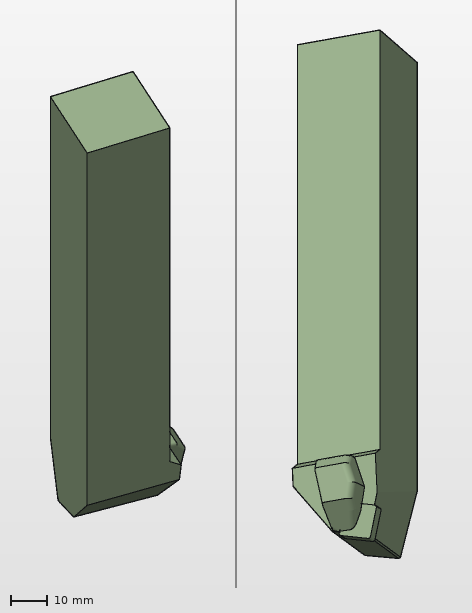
import cadquery as cq
import math

total_length = 151.4
shank_width = 24.8
bar_depth = 33.3
block_size = 454.0

rake_angle = 6.0
side_tilt = 1.0
seat_top_y = 27.8
seat_top_z = 23.9
shoulder_z = 26.2

lead_angle = 15.0
relief_angle = 6.0
nose_x = 5.1
nose_z = 4.2
nose_flat_depth = 0.3
back_edge_x = 15.9
back_edge_z = 7.3
back_corner_z = 19.2
back_relief_angle = 1.0

insert_side = 9.5
insert_thickness = 3.2
insert_corner_radius = 0.6
insert_corner_x = 2.7
insert_corner_z = -0.14

clamp_height = 6.2
clamp_left_fillet = 3.8 / 2
clamp_right_fillet = 0.8
clamp_middle_x = 11.4
side_edge_limit = 0.9
flat_tolerance = 1e-6
clamp_root = 3.0
clamp_draft = 6.0
clamp_plan = [(7.3, 28.8), (18.3, 28.8), (13.9, 3.8), (8.3, 0.0), (4.8, 8.0), (3.3, 15.0)]
clamp_profile = [(-3.0, 25.3), (2.9, 24.0), (clamp_height, 20.7), (clamp_height, 10.5), (-3.0, -0.3)]

lead = math.radians(lead_angle)
relief = math.tan(math.radians(relief_angle))
rake = math.tan(math.radians(rake_angle))
tilt = math.tan(math.radians(side_tilt))
seat_normal = cq.Vector(-tilt, 1, -rake).normalized()


def half_space(point, outward):
    """Large block lying beyond a plane, on the side its outward normal points to."""
    plane = cq.Plane(origin=point, normal=outward)
    return cq.Workplane(plane).rect(block_size, block_size).extrude(block_size)


def seat_y(x, z):
    """Y of the seat plane at a given X and Z."""
    return seat_top_y + tilt * x + rake * (z - seat_top_z)


def make_bar():
    """Square shank with the stepped rear side of the head."""
    shoulder_slope = (shoulder_z - seat_top_z) / (seat_top_y - shank_width)
    side_outline = [
        (0, 0),
        (bar_depth, 0),
        (bar_depth, shoulder_z - shoulder_slope * (bar_depth - shank_width)),
        (shank_width, shoulder_z),
        (shank_width, total_length),
        (0, total_length),
    ]
    bar = cq.Workplane("YZ").polyline(side_outline).close().extrude(shank_width)
    return bar.cut(half_space((0, seat_top_y, seat_top_z), seat_normal))


def grind_head(bar):
    """Cut the side, end, back and nose faces, each with its relief."""
    nose = cq.Vector(nose_x, 0, nose_z)
    side_normal = cq.Vector(-math.cos(lead), -relief, -math.sin(lead))
    end_normal = cq.Vector(math.sin(lead), -relief, -math.cos(lead))
    nose_normal = (side_normal + end_normal).normalized()

    back_edge = cq.Vector(back_edge_x, 0, back_edge_z)
    back_slope = math.atan2(back_corner_z - back_edge_z, shank_width - back_edge_x)
    back_relief = math.tan(math.radians(back_relief_angle))
    back_normal = cq.Vector(math.sin(back_slope), -back_relief, -math.cos(back_slope))

    head = bar.cut(half_space(nose, side_normal))
    head = head.cut(half_space(nose, end_normal))
    head = head.cut(half_space(back_edge, back_normal))
    return head.cut(half_space(nose - nose_normal * nose_flat_depth, nose_normal))


def make_insert():
    """Square insert, its rear face flush with the seat plane."""
    corner = (insert_corner_x, seat_y(insert_corner_x, insert_corner_z), insert_corner_z)
    end_direction = cq.Vector(
        math.cos(lead), tilt * math.cos(lead) + rake * math.sin(lead), math.sin(lead)
    )
    plane = cq.Plane(origin=corner, xDir=end_direction, normal=seat_normal * -1)
    return (
        cq.Workplane(plane)
        .rect(insert_side, insert_side, centered=False)
        .extrude(insert_thickness)
        .edges(cq.selectors.ParallelDirSelector(seat_normal))
        .fillet(insert_corner_radius)
    )


def make_clamp():
    """Clamp: a drafted plan trimmed to its side profile, with rounded side edges and a flat foot."""
    across = cq.Vector(1, tilt, 0).normalized()
    seat_origin = cq.Vector(0, seat_y(0, 0), 0)
    root_origin = seat_origin - seat_normal * clamp_root
    plan_plane = cq.Plane(origin=root_origin, xDir=across, normal=seat_normal)
    profile_plane = cq.Plane(origin=seat_origin, xDir=(0, 1, -rake), normal=(1, 0, 0))

    plan = [(x, -up) for x, up in clamp_plan]
    block = cq.Workplane(plan_plane).polyline(plan).close()
    block = block.extrude(2 * clamp_height, taper=clamp_draft)
    profile = cq.Workplane(profile_plane).polyline(clamp_profile).close().extrude(shank_width)
    clamp = round_side_edges(block.intersect(profile))
    return clamp.cut(half_space(seat_origin, seat_normal * -1))


def round_side_edges(clamp):
    """Round the edges where the left and right faces meet the rear, top and nose faces."""
    profile_faces = [face for face in clamp.faces().vals() if abs(face.normalAt().x) < flat_tolerance]
    side_edges = [
        edge for face in profile_faces for edge in face.Edges()
        if abs(edge.tangentAt(0).x) < side_edge_limit
    ]
    left_edges = [edge for edge in side_edges if edge.Center().x < clamp_middle_x]
    right_edges = [edge for edge in side_edges if edge.Center().x > clamp_middle_x]
    rounded = clamp.newObject(left_edges).fillet(clamp_left_fillet)
    return rounded.newObject(right_edges).fillet(clamp_right_fillet)


insert = make_insert()
holder = grind_head(make_bar()).union(make_clamp()).cut(insert)
result = cq.Compound.makeCompound([holder.val(), insert.val()])